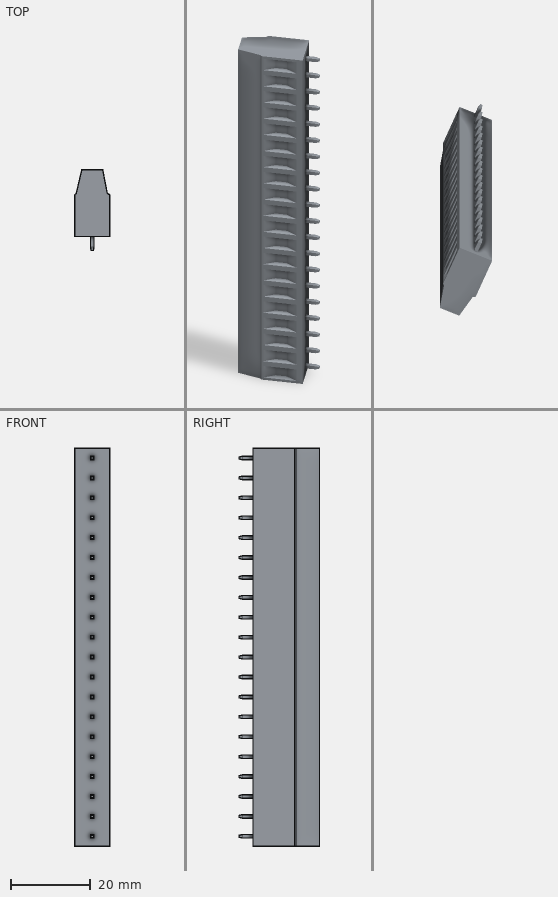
import cadquery as cq

poles = 20
pitch = 5.0
strip_length = poles * pitch

body_width = 8.9
body_depth = 16.8
ridge_width = 5.3
ridge_depth = 5.95
shoulder_drop = 0.35
funnel_side_shoulder = 0.4
plain_side_shoulder = 0.65

total_depth = 20.3
pin_length = total_depth - body_depth
pin_size = 0.95
pin_tip_width = 0.6
pin_tip_height = 0.5
pin_tip_length = 0.9
pin_straight_length = pin_length - pin_tip_length

funnel_depth = 1.0
mouth_start = 6.75
mouth_end = 15.2
mouth_height = 3.55
floor_start = 9.7
floor_end = 12.6
floor_height = 2.8

rear_y = total_depth / 2
front_y = rear_y - body_depth
shoulder_y = rear_y - ridge_depth
side_x = body_width / 2


def housing():
    """Tapered ridge and wider body, as one cross-section extruded along the whole strip."""
    cross_section = [
        (-ridge_width / 2, rear_y),
        (-side_x + funnel_side_shoulder, shoulder_y),
        (-side_x, shoulder_y - shoulder_drop),
        (-side_x, front_y),
        (side_x, front_y),
        (side_x, shoulder_y - shoulder_drop),
        (side_x - plain_side_shoulder, shoulder_y),
        (ridge_width / 2, rear_y),
    ]
    return (
        cq.Workplane("XY")
        .workplane(offset=-strip_length / 2)
        .polyline(cross_section)
        .close()
        .extrude(strip_length)
    )


def wire_funnel(z):
    """Cutter for one funnel, from its mouth in the -X side to its smaller floor."""
    mouth_y = rear_y - (mouth_start + mouth_end) / 2
    floor_y = rear_y - (floor_start + floor_end) / 2
    return (
        cq.Workplane("YZ", origin=(-side_x, mouth_y, z))
        .rect(mouth_end - mouth_start, mouth_height)
        .workplane(offset=funnel_depth)
        .center(floor_y - mouth_y, 0)
        .rect(floor_end - floor_start, floor_height)
        .loft(ruled=True)
    )


def solder_pin(z):
    """Square pin on the front face with a tapered tip."""
    shank = (
        cq.Workplane("XZ", origin=(0, front_y, z))
        .rect(pin_size, pin_size)
        .extrude(pin_straight_length)
    )
    tip = (
        cq.Workplane("XZ", origin=(0, front_y - pin_straight_length, z))
        .rect(pin_size, pin_size)
        .workplane(offset=pin_tip_length)
        .rect(pin_tip_width, pin_tip_height)
        .loft(ruled=True)
    )
    return shank.union(tip)


result = housing()
for pole in range(poles):
    pole_z = (pole + 0.5) * pitch - strip_length / 2
    result = result.cut(wire_funnel(pole_z)).union(solder_pin(pole_z))